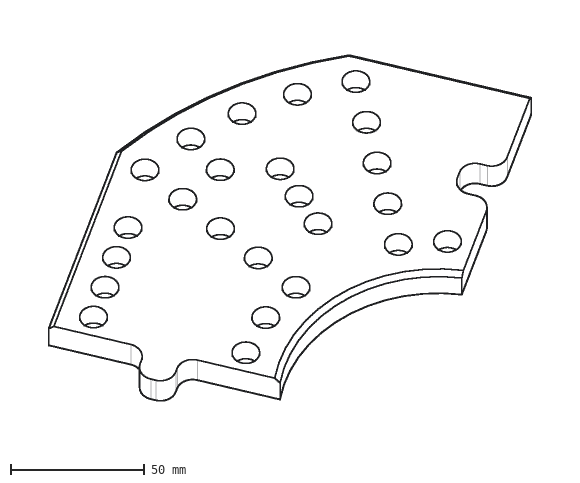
import cadquery as cq
import math

length_x = 141.5
length_y = 172.5
thickness = 12.0
chamfer = 2.0

tab_length = 13.8
tab_width = 14.0
joint_radius = 6.0
slot_size = 15.0
joint_offset = 45.2

center_distance = 150.0
center_x = center_distance
center_y = length_y - center_distance
outer_radius = 170.0
inner_radius = 60.0

hole_diameter = 10.4
hole_depth = 10.0
spoke_start = 75.4
spoke_pitch = 20.0
spoke_holes = 5
outer_row_holes = 3
lone_hole_radius = 137.0
spoke_angle = 28.2
small_pitch = 15.0
diagonal_row_start = 95.2
diagonal_holes = 3
column_x = 15.0
column_holes = 4


def box(x, y, width, depth):
    """Full-thickness block with its lower left corner at (x, y)."""
    return cq.Workplane("XY").box(width, depth, thickness, centered=False).translate((x, y, 0))


def center_disk(radius):
    """Full-thickness disk on the arc centre."""
    return cq.Workplane("XY").center(center_x, center_y).circle(radius).extrude(thickness)


def make_plate():
    """Rectangle bounded by the two arcs, with chamfered outer and inner top edges."""
    overrun = tab_length
    blank = box(0, 0, length_x + overrun, length_y).faces(">Z").edges("<X or >Y").chamfer(chamfer)
    disk = center_disk(outer_radius).faces(">Z").edges().chamfer(chamfer)
    opening = center_disk(inner_radius)
    opening_chamfer = (
        cq.Workplane("XY")
        .workplane(offset=thickness - chamfer)
        .center(center_x, center_y)
        .circle(inner_radius)
        .workplane(offset=chamfer)
        .circle(inner_radius + chamfer)
        .loft()
    )
    bounds = box(0, tab_length, length_x, length_y - tab_length)
    return blank.intersect(disk).intersect(bounds).cut(opening).cut(opening_chamfer)


def joint_tongue(length, width):
    """Tongue pointing to -Y from the origin, with flared root and rounded tip."""
    half = width / 2
    mid = joint_radius * (1 - math.sqrt(0.5))
    return (
        cq.Workplane("XY")
        .moveTo(-half - joint_radius, 0)
        .threePointArc((-half - mid, -mid), (-half, -joint_radius))
        .lineTo(-half, -length + joint_radius)
        .threePointArc((-half + mid, -length + mid), (-half + joint_radius, -length))
        .lineTo(half - joint_radius, -length)
        .threePointArc((half - mid, -length + mid), (half, -length + joint_radius))
        .lineTo(half, -joint_radius)
        .threePointArc((half + mid, -mid), (half + joint_radius, 0))
        .close()
        .extrude(thickness)
    )


def make_tab():
    tongue = joint_tongue(tab_length, tab_width)
    return tongue.translate((joint_offset, tab_length, 0))


def make_slot():
    tongue = joint_tongue(slot_size, slot_size)
    turned = tongue.rotate((0, 0, 0), (0, 0, 1), -90)
    return turned.translate((length_x, length_y - joint_offset, 0))


def polar_point(radius, angle):
    """Point around the arc centre, with the angle clockwise from the -X direction."""
    turn = math.radians(angle)
    return (center_x - radius * math.cos(turn), center_y + radius * math.sin(turn))


def hole_points():
    points = []
    mirror_angles = (spoke_angle, 90 - spoke_angle)
    for angle in mirror_angles:
        for i in range(spoke_holes):
            points.append(polar_point(spoke_start + i * spoke_pitch, angle))
    outer_row_radius = spoke_start + (spoke_holes - 1) * spoke_pitch
    outer_step = (90 - 2 * spoke_angle) / (outer_row_holes + 1)
    for i in range(1, outer_row_holes + 1):
        points.append(polar_point(outer_row_radius, spoke_angle + i * outer_step))
    points.append(polar_point(lone_hole_radius, spoke_angle + outer_step))
    for i in range(diagonal_holes):
        points.append(polar_point(diagonal_row_start + i * small_pitch, 45))
    for angle in (0, spoke_angle / 2, 90 - spoke_angle / 2):
        points.append(polar_point(spoke_start, angle))
    for i in range(column_holes):
        points.append((column_x, center_y + i * small_pitch))
    return points


def make_holes():
    return (
        cq.Workplane("XY")
        .workplane(offset=thickness - hole_depth)
        .pushPoints(hole_points())
        .circle(hole_diameter / 2)
        .extrude(hole_depth)
    )


result = make_plate().union(make_tab()).cut(make_slot()).cut(make_holes())